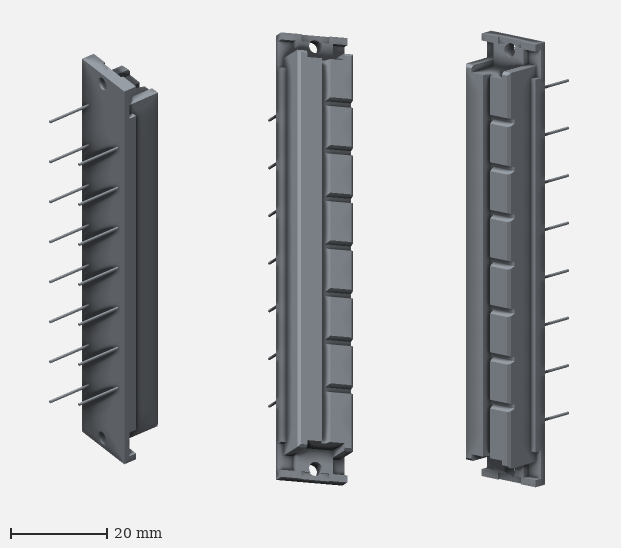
import cadquery as cq

plate_width = 14.7
plate_depth = 3.0
plate_length = 94.75

lip_height = 1.5
notch_height = 6.0
notch_floor_y = 1.3

hole_diameter = 2.8
hole_edge_distance = 2.4
hole_x = -0.3
relief_width = 6.3
relief_depth = 0.5

body_width = 12.3
body_height = 7.0
body_length = 84.7
body_chamfer = 0.6
end_recess_width = 8.2
end_recess_depth = 1.5

groove_mouth = 1.9
groove_floor = 0.9
groove_depth = 1.7

pin_diameter = 0.6
pin_length = 10.0
pin_count = 15
pin_span = 71.2
pin_row_spacing = 10.1
pin_center_z = 1.2

back_y = plate_depth + body_height
pin_pitch = pin_span / (pin_count - 1)
pin_heights = [pin_center_z - pin_span / 2 + i * pin_pitch for i in range(pin_count)]
left_pin_heights = pin_heights[0::2]
right_pin_heights = pin_heights[1::2]


def block(width, length, y_start, y_end, x=0.0, z=0.0):
    """Box centred at (x, z) that reaches from y_start to y_end."""
    depth = y_end - y_start
    return cq.Workplane("XY").box(width, depth, length).translate((x, y_start + depth / 2, z))


def front_cylinder(x, z, diameter, y_start, y_end):
    """Cylinder along Y that reaches from y_start to y_end."""
    base = cq.Vector(x, y_start, z)
    axis = cq.Vector(0, 1, 0)
    return cq.Workplane(cq.Solid.makeCylinder(diameter / 2, y_end - y_start, base, axis))


def make_plate():
    plate = block(plate_width, plate_length, 0, plate_depth)
    notch_width = (plate_width - end_recess_width) / 2
    notch_center_x = (plate_width - notch_width) / 2
    for end in (-1, 1):
        notch_z = end * (plate_length / 2 - lip_height - notch_height / 2)
        lip_z = end * (plate_length / 2 - lip_height / 2)
        for side in (-1, 1):
            notch_x = side * notch_center_x
            plate = plate.cut(block(notch_width, notch_height, notch_floor_y, plate_depth, notch_x, notch_z))
        relief = block(relief_width, lip_height, plate_depth - relief_depth, plate_depth, hole_x, lip_z)
        plate = plate.cut(relief)
    return plate


def tapered_groove(plane, length):
    """Groove cutter: the profile opens toward +Y at the back face and runs along the plane normal."""
    profile = [
        (-groove_mouth / 2, back_y),
        (groove_mouth / 2, back_y),
        (groove_floor / 2, back_y - groove_depth),
        (-groove_floor / 2, back_y - groove_depth),
    ]
    if plane == "YZ":
        profile = [(depth, across) for across, depth in profile]
    return cq.Workplane(plane).polyline(profile).close().extrude(length)


def make_body():
    body = block(body_width, body_length, notch_floor_y, back_y)
    body = body.faces(">Y").edges().chamfer(body_chamfer)
    for end in (-1, 1):
        recess_z = end * (body_length - end_recess_depth) / 2
        body = body.cut(block(end_recess_width, end_recess_depth, notch_floor_y, back_y, z=recess_z))

    center_groove = tapered_groove("XY", body_length).translate((0, 0, -body_length / 2))
    body = body.cut(center_groove)
    cross_groove = tapered_groove("YZ", -body_width / 2)
    for z in right_pin_heights:
        body = body.cut(cross_groove.translate((0, 0, z)))
    return body


def add_pins(part):
    rows = ((-pin_row_spacing / 2, left_pin_heights), (pin_row_spacing / 2, right_pin_heights))
    for x, heights in rows:
        for z in heights:
            part = part.union(front_cylinder(x, z, pin_diameter, -pin_length, notch_floor_y))
    return part


def drill_mounting_holes(part):
    for end in (-1, 1):
        z = end * (plate_length / 2 - hole_edge_distance)
        part = part.cut(front_cylinder(hole_x, z, hole_diameter, 0, plate_depth))
    return part


result = drill_mounting_holes(add_pins(make_plate().union(make_body())))